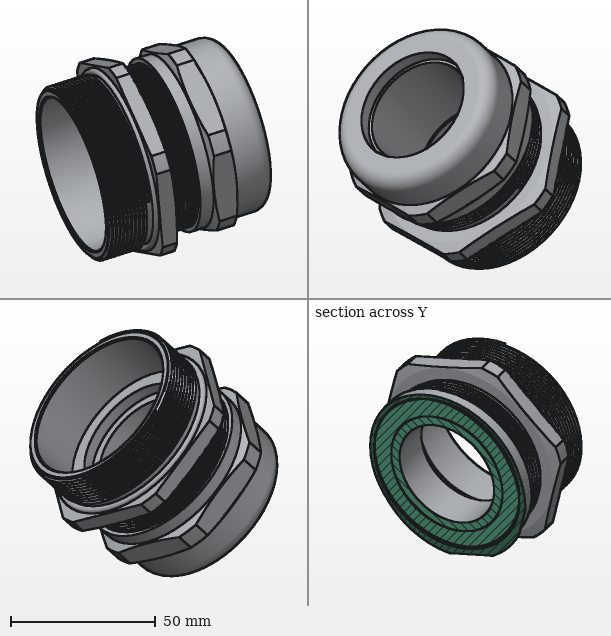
import cadquery as cq
import math


total_length = 62.9
tilt_about_x = -1.25
tilt_about_z = 0.65
hex_angle = 12.6

thread_pitch = 1.5
tooth_angle = 60.0
tooth_embed = 0.15

lower_core_diameter = 61.2
lower_crest_diameter = 63.0
lower_thread_start = 0.4
lower_thread_start_angle = 270.0
lower_thread_turns = 10.2
end_chamfer = 0.4
fitting_hex_start = 18.0
fitting_hex_height = 6.25
fitting_hex_width = 68.0
fitting_hex_corner_diameter = 75.0
fitting_hex_face_diameter = 67.0
fitting_hex_chamfer = 0.8
upper_core_diameter = 57.85
upper_crest_diameter = 59.4
upper_thread_start = 26.0
upper_thread_start_angle = 135.0
upper_thread_turns = 13
mouth_diameter = 55.7
mouth_chamfer = 0.45
mouth_depth = 20.5
seat_diameter = 45.3

ring_outer_diameter = 66.35
ring_height = 1.6

nut_start = 34.5
nut_diameter = 63.0
nut_hex_start = 39.4
nut_hex_height = 8.9
nut_hex_width = 64.0
nut_hex_corner_diameter = 70.0
nut_hex_chamfer = 1.2
dome_radius = 5.0
lip_thickness = dome_radius
lip_hole_diameter = 41.0

seal_start = 24.8
cable_diameter = 38.5

lip_start = total_length - lip_thickness
fitting_hex_end = fitting_hex_start + fitting_hex_height


def cylinder(diameter, start, end):
    """Solid cylinder on the Y axis between two axial positions."""
    return cq.Workplane("XZ", origin=(0, start, 0)).circle(diameter / 2).extrude(start - end)


def revolved(points):
    """Solid turned about the Y axis from (radius, axial position) points."""
    return cq.Workplane("XY").polyline(points).close().revolve(360, (0, 0), (0, 1))


def hexagon(width, start, height):
    """Hexagonal prism on the Y axis, sized across its flats."""
    across_corners = width / math.cos(math.pi / 6)
    prism = cq.Workplane("XZ", origin=(0, start, 0)).polygon(6, across_corners).extrude(-height)
    corner_offset = 30.0
    return prism.rotate((0, 0, 0), (0, 1, 0), -(hex_angle + corner_offset))


def thread_ridge(core_diameter, crest_diameter, start, turns, start_angle):
    """Right-handed triangular ridge winding around a cylindrical core along +Y."""
    root_radius = core_diameter / 2 - tooth_embed
    crest_radius = crest_diameter / 2
    half_base = (crest_radius - root_radius) * math.tan(math.radians(tooth_angle / 2))
    path = cq.Wire.makeHelix(thread_pitch, thread_pitch * turns, root_radius)
    ridge = (
        cq.Workplane("XZ")
        .polyline([(root_radius, -half_base), (crest_radius, 0), (root_radius, half_base)])
        .close()
        .sweep(cq.Workplane(path), isFrenet=True)
    )
    ridge = ridge.rotate((0, 0, 0), (0, 0, 1), start_angle)
    return ridge.rotate((0, 0, 0), (1, 0, 0), -90).translate((0, start, 0))


def make_o_ring():
    """Round-section ring lying against the core, part sunk into the hexagon face."""
    section_radius = (ring_outer_diameter - lower_core_diameter) / 4
    centre_radius = ring_outer_diameter / 2 - section_radius
    centre_position = fitting_hex_start - ring_height + section_radius
    return (
        cq.Workplane("XY")
        .center(centre_radius, centre_position)
        .circle(section_radius)
        .revolve(360, (-centre_radius, 0), (-centre_radius, 1))
    )


def make_fitting(o_ring):
    """Double-threaded sleeve with a hexagon between its threads."""
    corner_radius = fitting_hex_corner_diameter / 2
    hex_envelope = revolved([
        (0, fitting_hex_start),
        (corner_radius, fitting_hex_start),
        (corner_radius, fitting_hex_end - fitting_hex_chamfer),
        (fitting_hex_face_diameter / 2, fitting_hex_end),
        (0, fitting_hex_end),
    ])
    flange = hexagon(fitting_hex_width, fitting_hex_start, fitting_hex_height).intersect(hex_envelope)

    lower_core = cylinder(lower_core_diameter, 0, fitting_hex_start).faces("<Y").chamfer(end_chamfer)
    upper_core = cylinder(upper_core_diameter, fitting_hex_end, lip_start)
    body = flange.union(lower_core).union(upper_core).cut(o_ring)

    mouth_radius = mouth_diameter / 2
    mouth = revolved([
        (0, 0),
        (mouth_radius + mouth_chamfer, 0),
        (mouth_radius, mouth_chamfer),
        (mouth_radius, mouth_depth),
        (0, mouth_depth),
    ])
    body = body.cut(mouth).cut(cylinder(seat_diameter, 0, lip_start))

    lower_thread = thread_ridge(
        lower_core_diameter,
        lower_crest_diameter,
        lower_thread_start,
        lower_thread_turns,
        lower_thread_start_angle,
    )
    beyond_end_face = cylinder(fitting_hex_corner_diameter, -thread_pitch, 0)
    lower_thread = lower_thread.cut(beyond_end_face)
    upper_thread = thread_ridge(
        upper_core_diameter,
        upper_crest_diameter,
        upper_thread_start,
        upper_thread_turns,
        upper_thread_start_angle,
    )
    return body.union(lower_thread).union(upper_thread)


def make_dome_nut():
    """Domed cap with a double-chamfered hexagon, screwed over the upper thread."""
    shell = cylinder(nut_diameter, nut_start, total_length).faces(">Y").edges().fillet(dome_radius)
    barrel_radius = nut_diameter / 2
    corner_radius = nut_hex_corner_diameter / 2
    hex_end = nut_hex_start + nut_hex_height
    hex_envelope = revolved([
        (0, nut_hex_start),
        (barrel_radius, nut_hex_start),
        (corner_radius, nut_hex_start + nut_hex_chamfer),
        (corner_radius, hex_end - nut_hex_chamfer),
        (barrel_radius, hex_end),
        (0, hex_end),
    ])
    grip = hexagon(nut_hex_width, nut_hex_start, nut_hex_height).intersect(hex_envelope)
    nut = shell.union(grip)
    nut = nut.cut(cylinder(upper_crest_diameter, nut_start, lip_start))
    return nut.cut(cylinder(lip_hole_diameter, lip_start, total_length))


def make_seal():
    """Plain sleeve in the fitting, held down by the lip of the nut."""
    sleeve = cylinder(seat_diameter, seal_start, lip_start)
    return sleeve.cut(cylinder(cable_diameter, seal_start, lip_start))


def placed(body):
    """Body moved to the middle of the gland and tilted with it."""
    centred = body.translate((0, -total_length / 2, 0))
    pitched = centred.rotate((0, 0, 0), (1, 0, 0), tilt_about_x)
    return pitched.rotate((0, 0, 0), (0, 0, 1), tilt_about_z)


o_ring = make_o_ring()
fitting = make_fitting(o_ring)
dome_nut = make_dome_nut()
seal = make_seal()

result = cq.Compound.makeCompound([placed(body).val() for body in (fitting, o_ring, dome_nut, seal)])